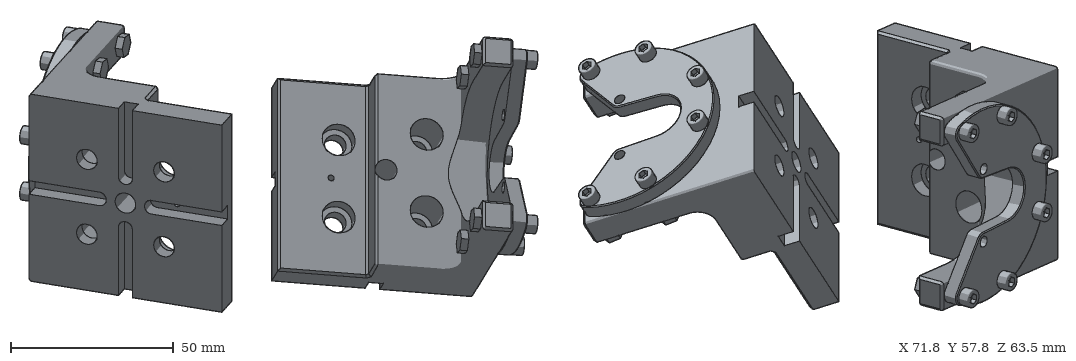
import cadquery as cq
import math

base_size = 63.5
bracket_height = 57.8
wall_thickness = 9.55
step_height = 19.95
step_end = 35.2
foot_height = 9.5
cove_radius = 6.2
edge_round = 1.1
edge_bevel = 0.8

ring_centre_y = 43.1
opening_radius = 22.25

centre_x = base_size / 2
hole_pitch = 25.4
base_hole_diameter = 6.75
counterbore_diameter = 10.3
counterbore_floor = 4.75
keyway_width = 4.6
keyway_depth = 5.1
keyway_inner_end = 6.3
pin_hole_diameter = 1.9
pin_hole_offset = 15.1

plate_thickness = 4.75
plate_radius = 31.7
plate_bevel = 0.35
bolt_circle_radius = 28.7
tip_angle = 68.3
dowel_offset_z = 11.9
dowel_hole_diameter = 3.45
corner_radius = plate_radius - bolt_circle_radius
throat_radius = 8.4
throat_centre_y = 31.1

screw_angles = (70.6, 109.4, 160.6)
nut_angles = (70.6, 109.4)
head_diameter = 5.75
head_height = 3.5
head_round = 0.3
socket_diameter = 3.3
socket_depth = 1.8
nut_diameter = 7.45
nut_thickness = 2.4
nut_turn = -7


def polar(centre, radius, degrees):
    """Point at a radius and an angle (from +Y towards +Z) about a centre in the Y-Z plane."""
    angle = math.radians(degrees)
    return (centre[0] + radius * math.cos(angle), centre[1] + radius * math.sin(angle))


def direction(start, end):
    """Angle in degrees of the line from start to end."""
    return math.degrees(math.atan2(end[1] - start[1], end[0] - start[0]))


def nearest(point):
    """Selector for the edge whose middle is closest to a point."""
    return cq.selectors.NearestToPointSelector(point)


def make_body():
    """L-shaped bracket with its side edges rounded along the wall and the first step."""
    body = (
        cq.Workplane("XY")
        .lineTo(base_size, 0)
        .lineTo(base_size, foot_height)
        .lineTo(step_end, foot_height)
        .lineTo(step_end, step_height)
        .lineTo(wall_thickness, step_height)
        .lineTo(wall_thickness, bracket_height)
        .lineTo(0, bracket_height)
        .close()
        .extrude(base_size / 2, both=True)
    )
    cove_corner = (wall_thickness, step_height, 0)
    step_corner = (step_end, foot_height, 0)
    body = body.edges(nearest(cove_corner)).fillet(cove_radius)
    body = body.edges(nearest(step_corner)).chamfer(edge_bevel)
    for side in (1, -1):
        side_z = side * base_size / 2
        back_edge = (0, bracket_height / 2, side_z)
        step_edge = (wall_thickness, (bracket_height + step_height) / 2, side_z)
        for point in (back_edge, step_edge):
            body = body.edges(nearest(point)).fillet(edge_round)
    return body


def cut_opening(body):
    """U-shaped opening through the wall, concentric with the ring plate."""
    opening = (
        cq.Workplane("YZ")
        .moveTo(bracket_height, opening_radius)
        .lineTo(ring_centre_y, opening_radius)
        .threePointArc((ring_centre_y - opening_radius, 0), (ring_centre_y, -opening_radius))
        .lineTo(bracket_height, -opening_radius)
        .close()
        .extrude(wall_thickness + cove_radius)
    )
    mouth_edge = (0, ring_centre_y - opening_radius, 0)
    body = body.cut(opening)
    return body.edges(nearest(mouth_edge)).fillet(edge_round)


def bevel_edges(body):
    """Bevel the wall tips and the outer edges of the step face and the foot."""
    half = base_size / 2
    margin = 0.1
    foot_region = cq.selectors.BoxSelector(
        (step_end - margin, foot_height - margin, -half - margin),
        (base_size + margin, step_height + margin, half + margin),
        boundingbox=True,
    )
    inner_corner = cq.selectors.BoxSelector(
        (step_end - margin, foot_height - margin, -margin),
        (step_end + edge_bevel + margin, foot_height + edge_bevel + margin, margin),
    )
    body = body.faces(">Y").edges().chamfer(edge_bevel)
    return body.edges(foot_region - inner_corner).chamfer(edge_bevel)


def cut_base_features(body):
    """Five through holes (the outer four counterbored from the back), keyways and a pin hole."""
    front = cq.Workplane("XZ", origin=(centre_x, 0, 0))
    through = -bracket_height
    half_pitch = hole_pitch / 2
    corners = []
    for x in (-half_pitch, half_pitch):
        for z in (-half_pitch, half_pitch):
            corners.append((x, z))
    holes = front.pushPoints(corners + [(0, 0)]).circle(base_hole_diameter / 2).extrude(through)
    counterbores = (
        front.workplane(offset=-counterbore_floor)
        .pushPoints(corners)
        .circle(counterbore_diameter / 2)
        .extrude(through)
    )
    body = body.cut(holes).cut(counterbores)

    keyway_centre = keyway_inner_end + base_size / 2
    for turn in (0, 90, 180, 270):
        keyway = front.center(keyway_centre, 0).slot2D(base_size, keyway_width).extrude(-keyway_depth)
        body = body.cut(keyway.rotate((centre_x, 0, 0), (centre_x, 1, 0), turn))

    pin_hole = front.center(pin_hole_offset, 0).circle(pin_hole_diameter / 2).extrude(through)
    return body.cut(pin_hole)


def make_plate():
    """C-shaped ring plate; its outline is a chain of arcs joined by tangent lines."""
    ring = (ring_centre_y, 0)
    throat = (throat_centre_y, 0)
    tip = polar(ring, bolt_circle_radius, tip_angle)
    dowel = (ring_centre_y, dowel_offset_z)

    flank_normal = direction(dowel, tip) - 90
    throat_distance = math.hypot(dowel[0] - throat[0], dowel[1] - throat[1])
    throat_swing = math.degrees(math.acos((throat_radius + corner_radius) / throat_distance))
    throat_normal = direction(throat, dowel) + throat_swing

    half_plate = (
        cq.Workplane("YZ")
        .moveTo(ring_centre_y - plate_radius, 0)
        .threePointArc(
            polar(ring, plate_radius, (tip_angle + 180) / 2),
            polar(ring, plate_radius, tip_angle),
        )
        .threePointArc(polar(tip, corner_radius, 0), polar(tip, corner_radius, flank_normal))
        .lineTo(*polar(dowel, corner_radius, flank_normal))
        .threePointArc(
            polar(dowel, corner_radius, (flank_normal + throat_normal - 180) / 2),
            polar(dowel, corner_radius, throat_normal - 180),
        )
        .lineTo(*polar(throat, throat_radius, throat_normal))
        .threePointArc(
            polar(throat, throat_radius, (throat_normal + 180) / 2),
            (throat_centre_y - throat_radius, 0),
        )
        .close()
        .extrude(-plate_thickness)
    )
    plate = half_plate.union(half_plate.mirror("XY")).clean()
    plate = plate.faces("<X").edges().chamfer(plate_bevel)
    dowel_holes = (
        cq.Workplane("YZ")
        .pushPoints([(ring_centre_y, dowel_offset_z), (ring_centre_y, -dowel_offset_z)])
        .circle(dowel_hole_diameter / 2)
        .extrude(-plate_thickness)
    )
    return plate.cut(dowel_holes)


def make_screw_head():
    """Socket head of a cap screw, seated on the plate at the origin and pointing to -X."""
    head = cq.Workplane("YZ").circle(head_diameter / 2).extrude(-head_height)
    head = head.faces("<X").edges().fillet(head_round)
    socket = (
        cq.Workplane("YZ", origin=(-head_height, 0, 0))
        .transformed(rotate=(0, 0, 90))
        .polygon(6, socket_diameter)
        .extrude(socket_depth)
    )
    return head.cut(socket)


def make_nut():
    """Hexagon nut seated on the back of the wall."""
    nut = cq.Workplane("YZ").polygon(6, nut_diameter).extrude(nut_thickness)
    return nut.rotate((0, 0, 0), (1, 0, 0), nut_turn)


def add_at_angles(part, item, x, angles):
    """Join copies of an item on both halves of the bolt circle."""
    for angle in angles:
        for side_angle in (angle, -angle):
            y, z = polar((ring_centre_y, 0), bolt_circle_radius, side_angle)
            part = part.union(item.translate((x, y, z)))
    return part


result = cut_base_features(bevel_edges(cut_opening(make_body())))
result = result.union(make_plate())
result = add_at_angles(result, make_screw_head(), -plate_thickness, screw_angles)
result = add_at_angles(result, make_nut(), wall_thickness, nut_angles)